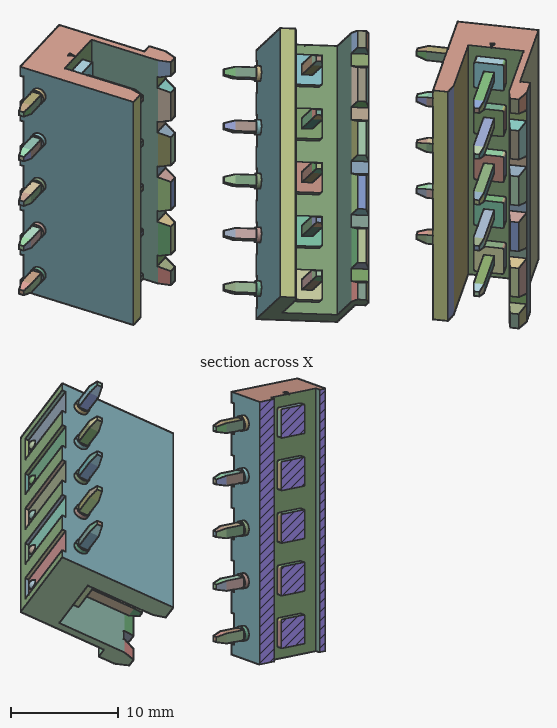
import cadquery as cq

POLES = 5
HEIGHT = 25.4
PITCH = HEIGHT / POLES
POLE_HEIGHTS = [(i - (POLES - 1) / 2) * PITCH for i in range(POLES)]

LENGTH = 12.0
WIDTH = 7.67
REAR_WALL = 3.78
FRONT_WALL = 1.75
LATCH_WALL = 0.69
WALL_TAPER_START = 10.8
WALL_TAPER_DROP = 0.33

LATCH_START = 9.0
LATCH_HEIGHT = 0.97
LATCH_TAPER_START = 10.72
LATCH_TAPER_DROP = 0.5

NOTCH_FLOOR = 10.72
NOTCH_FLOOR_WIDTH = 1.17
NOTCH_MOUTH_WIDTH = 1.88

POCKET_DEPTH = 0.35
POCKET_WIDTH = 6.8
POCKET_HEIGHT = 3.0
STUD_RADIUS = 0.48
STUD_Y = 6.05

PIN_SIZE = 1.0
PIN_TIP_SIZE = 0.5
PIN_TAPER = 1.02
CONTACT_Y = 3.9
CONTACT_END = 10.77
FLANGE_LENGTH = 1.05
FLANGE_SIZE = 2.85
FLANGE_ROUNDING = 0.2
SOLDER_X = 2.0
SOLDER_LENGTH = 3.45
COLLAR_DIAMETER = 1.42
COLLAR_LENGTH = 0.45

MARK_START = 3.05
MARK_END = 3.7
MARK_WIDTH = 0.4
MARK_DEPTH = 0.13


def housing():
    """U-shaped channel with a latch bead on its thin wall."""
    latch_top = WIDTH + LATCH_HEIGHT
    latch_inner = WIDTH - LATCH_WALL
    outline = [
        (0, 0),
        (LENGTH, 0),
        (LENGTH, FRONT_WALL - WALL_TAPER_DROP),
        (WALL_TAPER_START, FRONT_WALL),
        (REAR_WALL, FRONT_WALL),
        (REAR_WALL, latch_inner),
        (WALL_TAPER_START, latch_inner),
        (LENGTH, latch_inner + WALL_TAPER_DROP),
        (LENGTH, latch_top - LATCH_TAPER_DROP),
        (LATCH_TAPER_START, latch_top),
        (LATCH_START, latch_top),
        (LATCH_START, WIDTH),
        (0, WIDTH),
    ]
    return cq.Workplane("XY").polyline(outline).close().extrude(HEIGHT / 2, both=True)


def latch_notch(z):
    """Cutter for a notch that widens toward the rim of the latch wall."""
    outline = [
        (NOTCH_FLOOR, z - NOTCH_FLOOR_WIDTH / 2),
        (LENGTH, z - NOTCH_MOUTH_WIDTH / 2),
        (LENGTH, z + NOTCH_MOUTH_WIDTH / 2),
        (NOTCH_FLOOR, z + NOTCH_FLOOR_WIDTH / 2),
    ]
    middle_y = (FRONT_WALL + WIDTH - LATCH_WALL) / 2
    profile = cq.Workplane("XZ", origin=(0, middle_y, 0)).polyline(outline).close()
    return profile.extrude(-WIDTH)


def rear_pocket(z):
    """Cutter for a rear pocket that runs out through the -Y face."""
    pocket = cq.Workplane("XY").box(POCKET_DEPTH, POCKET_WIDTH, POCKET_HEIGHT, centered=(False, False, True))
    return pocket.translate((0, 0, z))


def stud(z):
    """Spherical cap on the pocket floor, flush with the rear face."""
    sphere_radius = (STUD_RADIUS**2 + POCKET_DEPTH**2) / (2 * POCKET_DEPTH)
    return cq.Workplane("XY").sphere(sphere_radius).translate((sphere_radius, STUD_Y, z))


def pin(base, length):
    """Square pin with a tapered tip, standing on the given base plane."""
    shank = base.rect(PIN_SIZE, PIN_SIZE).extrude(length - PIN_TAPER)
    tip = (
        base.workplane(offset=length - PIN_TAPER)
        .rect(PIN_SIZE, PIN_SIZE)
        .workplane(offset=PIN_TAPER)
        .rect(PIN_TIP_SIZE, PIN_TIP_SIZE)
        .loft(combine=False)
    )
    return shank.union(tip)


def contact(z):
    """Mating pin with the flange around its root."""
    base = cq.Workplane("YZ", origin=(REAR_WALL, CONTACT_Y, z))
    flange = base.rect(FLANGE_SIZE, FLANGE_SIZE).extrude(FLANGE_LENGTH).edges("|X").fillet(FLANGE_ROUNDING)
    return pin(base, CONTACT_END - REAR_WALL).union(flange)


def solder_pin(z):
    """Solder pin with the round collar around its root."""
    base = cq.Workplane("XZ", origin=(SOLDER_X, 0, z))
    collar = base.circle(COLLAR_DIAMETER / 2).extrude(COLLAR_LENGTH)
    return pin(base, SOLDER_LENGTH).union(collar)


def pole_mark():
    """Cutter for the triangular mark that points at the top contact."""
    outline = [
        (MARK_START, CONTACT_Y - MARK_WIDTH / 2),
        (MARK_END, CONTACT_Y),
        (MARK_START, CONTACT_Y + MARK_WIDTH / 2),
    ]
    top = cq.Workplane("XY", origin=(0, 0, HEIGHT / 2))
    return top.polyline(outline).close().extrude(-MARK_DEPTH)


result = housing().cut(pole_mark())
for pole_z in POLE_HEIGHTS:
    result = result.cut(latch_notch(pole_z)).cut(rear_pocket(pole_z))
    result = result.union(stud(pole_z)).union(contact(pole_z)).union(solder_pin(pole_z))